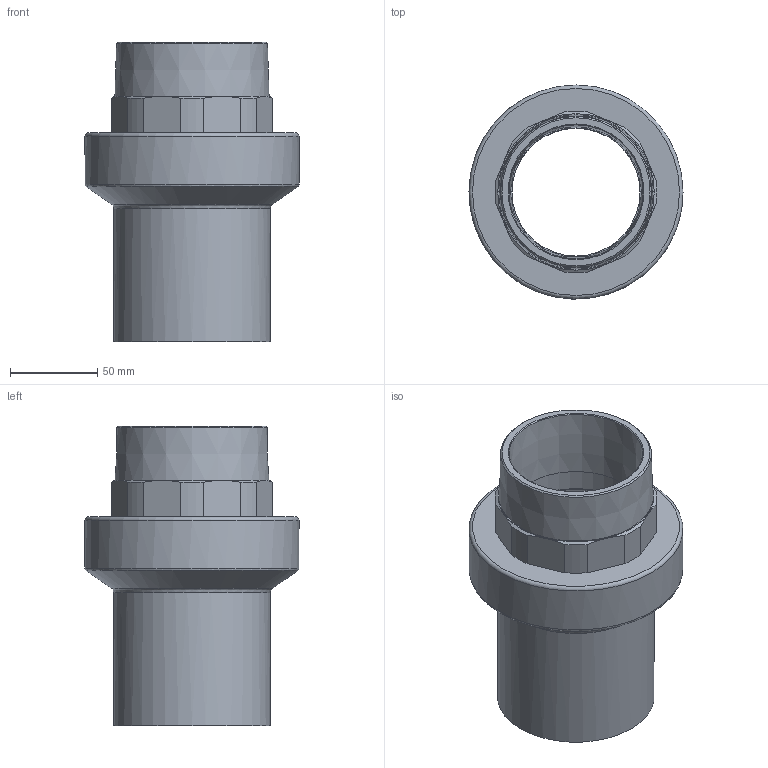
import cadquery as cq
import math

TOTAL_HEIGHT = 172.0
PIPE_TOP = 78.0
FLANGE_TOP = 120.0
NUT_TOP = 141.0

PIPE_RADIUS = 45.0
FLANGE_RADIUS = 61.5
CONE_ANGLE = 35.0
FLANGE_ROUND = 2.0
NECK_ROUND = 3.0

NUT_SIDES = 8
NUT_ACROSS_FLATS = 90.0
NUT_CORNER_RADIUS = 46.5
NUT_BEVEL_RADIUS = 44.95
NUT_BEVEL_ANGLE = 35.0

SPIGOT_TOP_RADIUS = 43.35
SPIGOT_TAPER = 1 / 16
SPIGOT_CHAMFER = 0.8

PIPE_BORE_RADIUS = 36.8
NUT_BORE_RADIUS = 37.6
SPIGOT_BORE_TOP_RADIUS = 38.5
NUT_BORE_BOTTOM = FLANGE_TOP
SPIGOT_BORE_BOTTOM = 132.0
BORE_CHAMFER = 0.5

SELECTION_MARGIN = 0.05


def revolve_profile(profile):
    """Turn a closed (radius, height) profile about the Z axis."""
    return profile.close().revolve(360, (0, 0, 0), (0, 1, 0))


def ring_edges(radius, height):
    """Select the circular edges no larger than a given radius at a given height."""
    margin = SELECTION_MARGIN
    return cq.selectors.BoxSelector(
        (-radius - margin, -radius - margin, height - margin),
        (radius + margin, radius + margin, height + margin),
        boundingbox=True,
    )


def make_pipe_and_flange():
    cone_height = (FLANGE_RADIUS - PIPE_RADIUS) * math.tan(math.radians(CONE_ANGLE))
    flange_bottom = PIPE_TOP + cone_height
    body = revolve_profile(
        cq.Workplane("XZ")
        .moveTo(0, 0)
        .lineTo(PIPE_RADIUS, 0)
        .lineTo(PIPE_RADIUS, PIPE_TOP)
        .lineTo(FLANGE_RADIUS, flange_bottom)
        .lineTo(FLANGE_RADIUS, FLANGE_TOP)
        .lineTo(0, FLANGE_TOP)
    )
    for height in (FLANGE_TOP, flange_bottom):
        body = body.edges(ring_edges(FLANGE_RADIUS, height)).fillet(FLANGE_ROUND)
    return body.edges(ring_edges(PIPE_RADIUS, PIPE_TOP)).fillet(NECK_ROUND)


def make_nut():
    half_side_angle = math.pi / NUT_SIDES
    octagon = (
        cq.Workplane("XY", origin=(0, 0, FLANGE_TOP))
        .polygon(NUT_SIDES, NUT_ACROSS_FLATS / math.cos(half_side_angle))
        .extrude(NUT_TOP - FLANGE_TOP)
    )
    bevel_width = NUT_CORNER_RADIUS - NUT_BEVEL_RADIUS
    bevel_height = bevel_width * math.tan(math.radians(NUT_BEVEL_ANGLE))
    turned_blank = revolve_profile(
        cq.Workplane("XZ")
        .moveTo(0, FLANGE_TOP)
        .lineTo(NUT_CORNER_RADIUS, FLANGE_TOP)
        .lineTo(NUT_CORNER_RADIUS, NUT_TOP - bevel_height)
        .lineTo(NUT_BEVEL_RADIUS, NUT_TOP)
        .lineTo(0, NUT_TOP)
    )
    return octagon.intersect(turned_blank)


def make_spigot():
    cone_top = TOTAL_HEIGHT - SPIGOT_CHAMFER
    root_radius = SPIGOT_TOP_RADIUS + (cone_top - NUT_TOP) * SPIGOT_TAPER / 2
    return revolve_profile(
        cq.Workplane("XZ")
        .moveTo(0, NUT_TOP)
        .lineTo(root_radius, NUT_TOP)
        .lineTo(SPIGOT_TOP_RADIUS, cone_top)
        .lineTo(SPIGOT_TOP_RADIUS - SPIGOT_CHAMFER, TOTAL_HEIGHT)
        .lineTo(0, TOTAL_HEIGHT)
    )


def make_bore():
    return revolve_profile(
        cq.Workplane("XZ")
        .moveTo(0, 0)
        .lineTo(PIPE_BORE_RADIUS, 0)
        .lineTo(PIPE_BORE_RADIUS, NUT_BORE_BOTTOM)
        .lineTo(NUT_BORE_RADIUS, NUT_BORE_BOTTOM)
        .lineTo(NUT_BORE_RADIUS, SPIGOT_BORE_BOTTOM)
        .lineTo(SPIGOT_BORE_TOP_RADIUS, TOTAL_HEIGHT - BORE_CHAMFER)
        .lineTo(SPIGOT_BORE_TOP_RADIUS + BORE_CHAMFER, TOTAL_HEIGHT)
        .lineTo(0, TOTAL_HEIGHT)
    )


result = make_pipe_and_flange().union(make_nut()).union(make_spigot()).cut(make_bore())